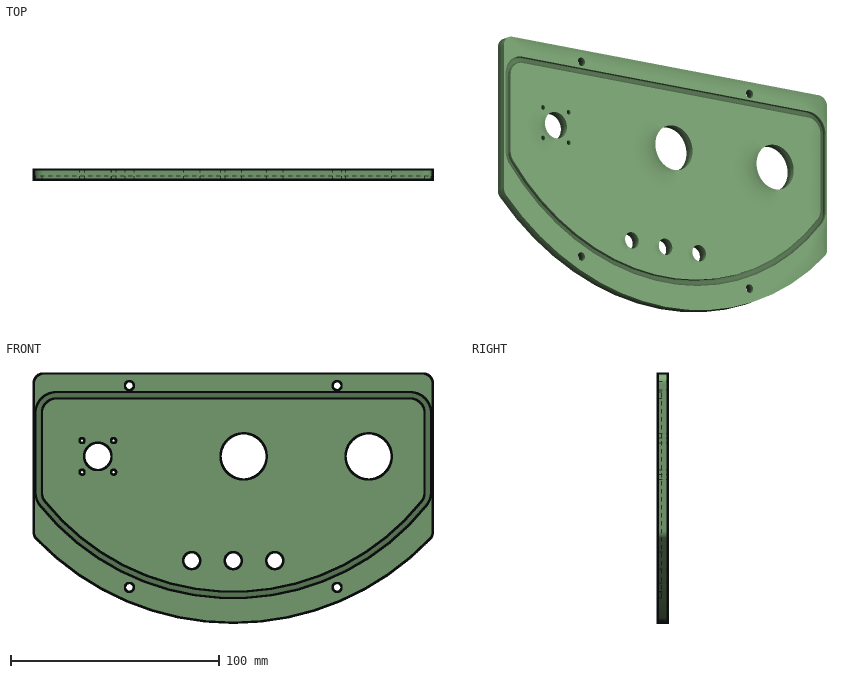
import cadquery as cq
import math

width = 192
height = 120.0
thickness = 5.0
arc_radius = 131.0
corner_radius = 5.0

groove_width = 3.0
groove_depth = 2.0
groove_side_margin = 1.0
groove_top_margin = 9.0
groove_bottom_margin = 12.0
groove_corner_radius = 10.0

mount_diameter = 4.2
mount_x = 50
mount_top_depth = 6.0
mount_bottom_depth = 103.0

row_depth = 40.0
large_diameter = 22.0
large_xs = (5.0, 65.0)

socket_diameter = 13.0
socket_x = -65.0
screw_diameter = 2.3
screw_pitch = 15.2

small_diameter = 8.0
small_pitch = 20.0
small_depth = 90.0

arc_center_z = arc_radius - height


def panel(half_width, top_z, radius, corner, depth):
    """Rounded panel with straight top and sides and an arc bottom, cut back from the front face."""
    side_z = arc_center_z - math.sqrt(radius**2 - half_width**2)
    return (
        cq.Workplane("XZ")
        .moveTo(-half_width, top_z)
        .lineTo(half_width, top_z)
        .lineTo(half_width, side_z)
        .threePointArc((0, arc_center_z - radius), (-half_width, side_z))
        .close()
        .extrude(-depth)
        .edges("|Y")
        .fillet(corner)
    )


def groove():
    """Ring of constant width that follows the plate outline."""
    half_width = width / 2 - groove_side_margin
    radius = arc_radius - groove_bottom_margin
    outer = panel(half_width, -groove_top_margin, radius, groove_corner_radius, groove_depth)
    inner = panel(
        half_width - groove_width,
        -groove_top_margin - groove_width,
        radius - groove_width,
        groove_corner_radius - groove_width,
        groove_depth,
    )
    return outer.cut(inner)


def through_holes(points, diameter):
    """Cylinders through the full thickness at the given (x, z) points."""
    return cq.Workplane("XZ").pushPoints(points).circle(diameter / 2).extrude(-thickness)


mount_points = [(x, -depth) for x in (-mount_x, mount_x) for depth in (mount_top_depth, mount_bottom_depth)]
large_points = [(x, -row_depth) for x in large_xs]
socket_points = [(socket_x, -row_depth)]
screw_offsets = (-screw_pitch / 2, screw_pitch / 2)
screw_points = [(socket_x + dx, -row_depth + dz) for dx in screw_offsets for dz in screw_offsets]
small_points = [(i * small_pitch, -small_depth) for i in (-1, 0, 1)]

result = panel(width / 2, 0, arc_radius, corner_radius, thickness).cut(groove())
for points, diameter in (
    (mount_points, mount_diameter),
    (large_points, large_diameter),
    (socket_points, socket_diameter),
    (screw_points, screw_diameter),
    (small_points, small_diameter),
):
    result = result.cut(through_holes(points, diameter))